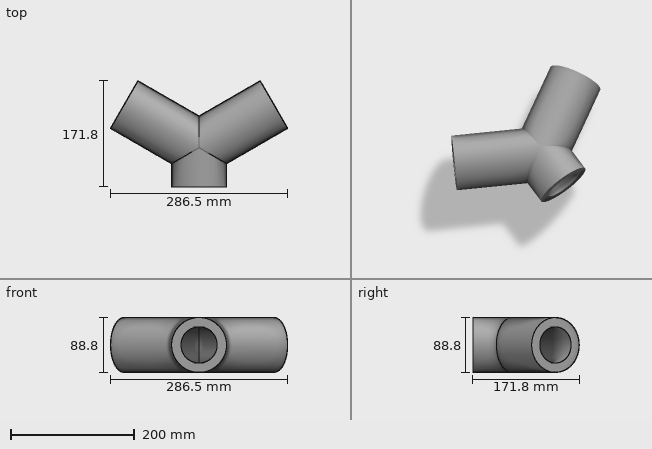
import cadquery as cq
import math

overall_width = 286.5
outer_diameter = 88.8
bore_diameter = 58.5
stem_length = 63.5
arm_rise_angle = 30.0

rise = math.radians(arm_rise_angle)
corner_offset = outer_diameter / 2 * math.sin(rise)
arm_length = (overall_width / 2 - corner_offset) / math.cos(rise)

branches = [
    (-90.0, stem_length),
    (arm_rise_angle, arm_length),
    (180.0 - arm_rise_angle, arm_length),
]


def branch_cylinder(diameter, angle, length):
    """Cylinder from the origin along a direction in the XY plane."""
    along_x = cq.Workplane("YZ").circle(diameter / 2).extrude(length)
    return along_x.rotate((0, 0, 0), (0, 0, 1), angle)


def miter_wedge(angle, length):
    """Sector that limits a branch to its equal share of the junction."""
    reach = 2 * length
    half_share = math.radians(180.0 / len(branches))
    x = reach * math.cos(half_share)
    y = reach * math.sin(half_share)
    wedge = (
        cq.Workplane("XY")
        .polyline([(0, 0), (x, -y), (reach, -y), (reach, y), (x, y)])
        .close()
        .extrude(outer_diameter, both=True)
    )
    return wedge.rotate((0, 0, 0), (0, 0, 1), angle)


def joined_branches(diameter):
    """Three mitered cylinders of one diameter, joined at the origin."""
    body = cq.Workplane("XY")
    for angle, length in branches:
        cylinder = branch_cylinder(diameter, angle, length)
        body = body.add(cylinder.intersect(miter_wedge(angle, length)))
    return body.combine()


result = joined_branches(outer_diameter).cut(joined_branches(bore_diameter))